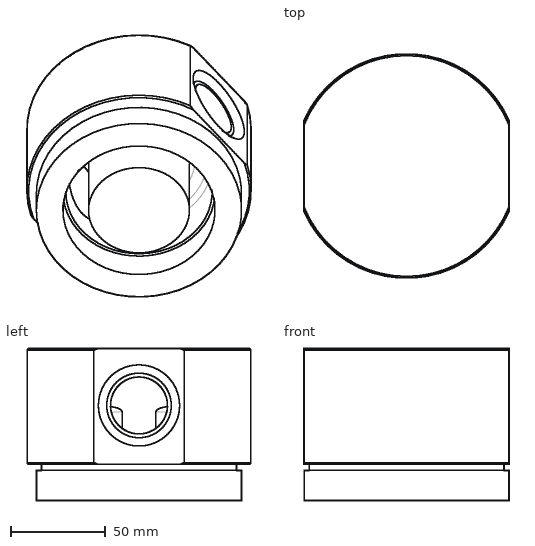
import cadquery as cq

body_radius = 59.0
flat_spacing = 108.0
total_height = 80.0
body_bottom = 19.0
edge_chamfer = 1.0

ring_diameter = flat_spacing
ring_height = 15.8
neck_radius = 51.3

port_height = 50.0
port_mouth_radius = 21.4
port_seat_radius = 17.0
port_seat_depth = 3.7
port_bore_radius = 15.0
port_bore_end = 25.0

chamber_radius = 38.5
post_radius = 26.5
chamber_top = 49.3
chamber_fillet = 2.7
chamber_entry_radius = 40.0
chamber_entry_height = 18.0


def make_body():
    """Chamfered drum with side flats, standing on the grooved ring."""
    drum = (
        cq.Workplane("XY")
        .workplane(offset=body_bottom)
        .circle(body_radius)
        .extrude(total_height - body_bottom)
        .edges()
        .chamfer(edge_chamfer)
    )
    flats = cq.Workplane("XY").box(
        flat_spacing, 2 * body_radius, total_height, centered=(True, True, False)
    )
    neck = cq.Workplane("XY").circle(neck_radius).extrude(body_bottom)
    ring = cq.Workplane("XY").circle(ring_diameter / 2).extrude(ring_height)
    return drum.intersect(flats).union(neck).union(ring)


def make_port():
    """Port on the -X flat: conical mouth, flat seat and blind bore."""
    face_x = -flat_spacing / 2
    seat_x = face_x + port_seat_depth
    profile = [
        (face_x, 0),
        (face_x, port_mouth_radius),
        (seat_x, port_seat_radius),
        (seat_x, port_bore_radius),
        (-port_bore_end, port_bore_radius),
        (-port_bore_end, 0),
    ]
    port = cq.Workplane("XZ").polyline(profile).close().revolve(360, (0, 0, 0), (1, 0, 0))
    return port.translate((0, 0, port_height))


def make_chamber():
    """Ring-shaped chamber around the central post, rounded at its top and wider at its entry."""
    channel = (
        cq.Workplane("XY")
        .circle(chamber_radius)
        .circle(post_radius)
        .extrude(chamber_top)
        .faces(">Z")
        .edges()
        .fillet(chamber_fillet)
    )
    entry = (
        cq.Workplane("XY")
        .circle(chamber_entry_radius)
        .circle(post_radius)
        .extrude(chamber_entry_height)
    )
    return channel.union(entry)


inlet = make_port()
outlet = inlet.mirror("YZ")
result = make_body().cut(make_chamber()).cut(inlet).cut(outlet)